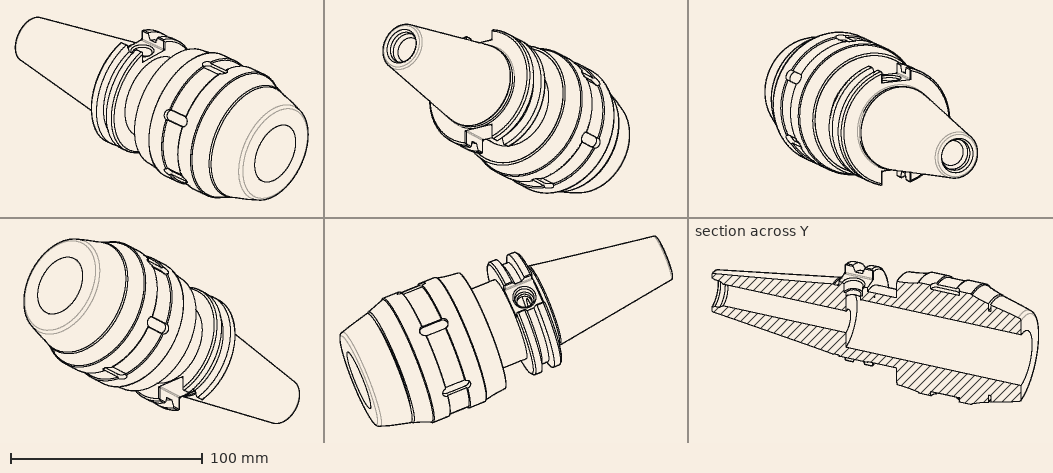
import cadquery as cq
import math

LENGTH = 173.2

TAPER_LENGTH = 67.9
TAPER_DIAMETER = 44.5
TAPER_RATIO = 7 / 24
SHANK_END_ROUND = 1.0
RELIEF_DIAMETER = 44.0
RELIEF_SLOPE = 0.7
RELIEF_FILLET = 0.7

FLANGE_START = 71.2
FLANGE_WIDTH = 16.1
FLANGE_DIAMETER = 63.4
FLANGE_CHAMFER = 1.0
FLANGE_CENTER = FLANGE_START + FLANGE_WIDTH / 2
FLANGE_END = FLANGE_START + FLANGE_WIDTH
GROOVE_DIAMETER = 56.0
GROOVE_TOP_WIDTH = 7.0
GROOVE_FLOOR_WIDTH = 3.8

DRIVE_SLOT_WIDTH = 16.1
DRIVE_SLOT_EDGE_CHAMFER = 0.5
DRIVE_SLOT_FILLET = 0.5
UPPER_SLOT_FLOOR = 24.6
LOWER_SLOT_FLOOR = 22.7

SCREW_MOUTH_DIAMETER = 12.1
SCREW_HEAD_DIAMETER = 10.2
SCREW_HEAD_DEPTH = 6.0
SCREW_DIAMETER = 8.0

NECK_DIAMETER = 44.5
NUT_FACE_DIAMETER = 62.7
NUT_FACE_HEIGHT = 0.2
NUT_START = 103.5
NUT_REAR_DIAMETER = 65.3
NUT_REAR_SAG = 0.26
RING_START = 115.3
RING_END = 145.8
RING_DIAMETER = 70.0
RING_SHOULDER_DIAMETER = 68.7
RING_SHOULDER_SLOPE = 0.5
BAND_START = 124.8
BAND_END = 136.3
BAND_DIAMETER = 68.4
BAND_EDGE_SLOPE = 0.3

GAP_START = 155.0
GAP_WIDTH = 1.0
GAP_DIAMETER = 53.3
CONE_END_DIAMETER = 62.3
NOSE_START_DIAMETER = 61.5
NOSE_END_DIAMETER = 53.0
NOSE_BULGE = 0.3
NOSE_ROUND = 1.5

WRENCH_SLOT_COUNT = 6
WRENCH_SLOT_LENGTH = 15.8
WRENCH_SLOT_WIDTH = 5.5
WRENCH_SLOT_FLOOR = 32.4
WRENCH_SLOT_CENTER = (BAND_START + BAND_END) / 2

THROUGH_DIAMETER = 13.3
SHANK_BORE_DIAMETER = 16.5
SHANK_BORE_DEPTH = 4.3
SHANK_BORE_CONE_END = 6.4
SHANK_MOUTH_DIAMETER = 18.4
SHANK_MOUTH_CHAMFER = 1.7
CHUCK_BORE_DIAMETER = 31.7
CHUCK_BORE_START = 75.1


def revolve_about_x(profile):
    """Turn a closed profile, drawn as axial position and radius, about the X axis."""
    return profile.close().revolve(360, (0, 0, 0), (1, 0, 0))


def middle_of_arc(start, end, rise):
    """Middle point of a shallow arc that stands off its chord by a radial rise."""
    return (start[0] + end[0]) / 2, (start[1] + end[1]) / 2 + rise


def round_point(center_x, center_radius, size, along, outward):
    """Middle of a quarter round; along and outward are +1 or -1 and pick the quarter."""
    reach = size * math.sqrt(0.5)
    return center_x + along * reach, center_radius + outward * reach


def turned_body():
    """Outer shape of the holder from the shank end to the nose, without bores or slots."""
    shank_end_radius = (TAPER_DIAMETER - TAPER_RATIO * TAPER_LENGTH) / 2
    shank_round_middle = round_point(
        SHANK_END_ROUND, shank_end_radius - SHANK_END_ROUND, SHANK_END_ROUND, -1, 1
    )
    relief_fillet_middle = round_point(
        FLANGE_START - RELIEF_FILLET, RELIEF_DIAMETER / 2 + RELIEF_FILLET, RELIEF_FILLET, 1, -1
    )
    nut_rear = (NUT_START, NUT_REAR_DIAMETER / 2)
    ring_rear = (RING_START, RING_SHOULDER_DIAMETER / 2)
    nose_rear = (GAP_START + GAP_WIDTH, NOSE_START_DIAMETER / 2)
    nose_front = (LENGTH - NOSE_ROUND, NOSE_END_DIAMETER / 2)
    nose_rim_radius = NOSE_END_DIAMETER / 2 - NOSE_ROUND
    nose_round_middle = round_point(LENGTH - NOSE_ROUND, nose_rim_radius, NOSE_ROUND, 1, 1)
    profile = (
        cq.Workplane("XY")
        .lineTo(0, shank_end_radius - SHANK_END_ROUND)
        .threePointArc(shank_round_middle, (SHANK_END_ROUND, shank_end_radius))
        .lineTo(TAPER_LENGTH, TAPER_DIAMETER / 2)
        .lineTo(TAPER_LENGTH + RELIEF_SLOPE, RELIEF_DIAMETER / 2)
        .lineTo(FLANGE_START - RELIEF_FILLET, RELIEF_DIAMETER / 2)
        .threePointArc(relief_fillet_middle, (FLANGE_START, RELIEF_DIAMETER / 2 + RELIEF_FILLET))
        .lineTo(FLANGE_START, FLANGE_DIAMETER / 2 - FLANGE_CHAMFER)
        .lineTo(FLANGE_START + FLANGE_CHAMFER, FLANGE_DIAMETER / 2)
        .lineTo(FLANGE_CENTER - GROOVE_TOP_WIDTH / 2, FLANGE_DIAMETER / 2)
        .lineTo(FLANGE_CENTER - GROOVE_FLOOR_WIDTH / 2, GROOVE_DIAMETER / 2)
        .lineTo(FLANGE_CENTER + GROOVE_FLOOR_WIDTH / 2, GROOVE_DIAMETER / 2)
        .lineTo(FLANGE_CENTER + GROOVE_TOP_WIDTH / 2, FLANGE_DIAMETER / 2)
        .lineTo(FLANGE_END - FLANGE_CHAMFER, FLANGE_DIAMETER / 2)
        .lineTo(FLANGE_END, FLANGE_DIAMETER / 2 - FLANGE_CHAMFER)
        .lineTo(FLANGE_END, NECK_DIAMETER / 2)
        .lineTo(NUT_START - NUT_FACE_HEIGHT, NECK_DIAMETER / 2)
        .lineTo(NUT_START - NUT_FACE_HEIGHT, NUT_FACE_DIAMETER / 2)
        .lineTo(NUT_START, NUT_FACE_DIAMETER / 2)
        .lineTo(*nut_rear)
        .threePointArc(middle_of_arc(nut_rear, ring_rear, -NUT_REAR_SAG), ring_rear)
        .lineTo(RING_START + RING_SHOULDER_SLOPE, RING_DIAMETER / 2)
        .lineTo(BAND_START, RING_DIAMETER / 2)
        .lineTo(BAND_START + BAND_EDGE_SLOPE, BAND_DIAMETER / 2)
        .lineTo(BAND_END - BAND_EDGE_SLOPE, BAND_DIAMETER / 2)
        .lineTo(BAND_END, RING_DIAMETER / 2)
        .lineTo(RING_END - RING_SHOULDER_SLOPE, RING_DIAMETER / 2)
        .lineTo(RING_END, RING_SHOULDER_DIAMETER / 2)
        .lineTo(GAP_START, CONE_END_DIAMETER / 2)
        .lineTo(GAP_START, GAP_DIAMETER / 2)
        .lineTo(GAP_START + GAP_WIDTH, GAP_DIAMETER / 2)
        .lineTo(*nose_rear)
        .threePointArc(middle_of_arc(nose_rear, nose_front, NOSE_BULGE), nose_front)
        .threePointArc(nose_round_middle, (LENGTH, nose_rim_radius))
        .lineTo(LENGTH, 0)
    )
    return revolve_about_x(profile)


def axial_bores():
    """Shank bore, through hole and chuck bore open at the nose, as one cutting shape."""
    profile = (
        cq.Workplane("XY")
        .lineTo(0, SHANK_MOUTH_DIAMETER / 2)
        .lineTo(SHANK_MOUTH_CHAMFER, SHANK_BORE_DIAMETER / 2)
        .lineTo(SHANK_BORE_DEPTH, SHANK_BORE_DIAMETER / 2)
        .lineTo(SHANK_BORE_CONE_END, THROUGH_DIAMETER / 2)
        .lineTo(CHUCK_BORE_START, THROUGH_DIAMETER / 2)
        .lineTo(CHUCK_BORE_START, CHUCK_BORE_DIAMETER / 2)
        .lineTo(LENGTH, CHUCK_BORE_DIAMETER / 2)
        .lineTo(LENGTH, 0)
    )
    return revolve_about_x(profile)


def drive_slot(floor, side):
    """Slot through the flange; side is +1 for the +Z slot and -1 for the -Z slot."""
    height = FLANGE_DIAMETER / 2
    slot = cq.Workplane("XY").box(FLANGE_WIDTH, DRIVE_SLOT_WIDTH, height)
    slot = slot.edges("|X and " + ("<Z" if side > 0 else ">Z")).fillet(DRIVE_SLOT_FILLET)
    return slot.translate((FLANGE_CENTER, 0, side * (floor + height / 2)))


def drive_slot_entry(floor, side):
    """Four upright wedges that chamfer the slot walls at the two flange faces."""
    wall = DRIVE_SLOT_WIDTH / 2
    wedges = cq.Workplane("XY", origin=(0, 0, side * floor))
    for face, inward in ((FLANGE_START, 1), (FLANGE_END, -1)):
        for wall_side in (1, -1):
            wedges = wedges.polyline(
                [
                    (face, wall_side * wall),
                    (face + inward * DRIVE_SLOT_EDGE_CHAMFER, wall_side * wall),
                    (face, wall_side * (wall + DRIVE_SLOT_EDGE_CHAMFER)),
                ]
            ).close()
    return wedges.extrude(side * FLANGE_DIAMETER / 2)


def drive_slot_rim(side):
    """Flare that breaks the long edges where a drive slot wall meets the flange rim."""
    half_width = DRIVE_SLOT_WIDTH / 2
    flare = half_width + DRIVE_SLOT_EDGE_CHAMFER
    rim = math.sqrt((FLANGE_DIAMETER / 2) ** 2 - flare**2)
    wall_top = rim - DRIVE_SLOT_EDGE_CHAMFER
    outer = FLANGE_DIAMETER / 2
    half_outline = [(half_width, wall_top), (flare, rim), (flare, outer)]
    outline = half_outline + [(-y, z) for y, z in reversed(half_outline)]
    return (
        cq.Workplane("YZ", origin=(FLANGE_START, 0, 0))
        .polyline([(y, side * z) for y, z in outline])
        .close()
        .extrude(FLANGE_WIDTH)
    )


def screw_hole():
    """Radial screw hole from the upper slot floor into the chuck bore."""
    chamfer = (SCREW_MOUTH_DIAMETER - SCREW_HEAD_DIAMETER) / 2
    head_floor = UPPER_SLOT_FLOOR - SCREW_HEAD_DEPTH
    profile = (
        cq.Workplane("XZ")
        .lineTo(SCREW_DIAMETER / 2, 0)
        .lineTo(SCREW_DIAMETER / 2, head_floor)
        .lineTo(SCREW_HEAD_DIAMETER / 2, head_floor)
        .lineTo(SCREW_HEAD_DIAMETER / 2, UPPER_SLOT_FLOOR - chamfer)
        .lineTo(SCREW_MOUTH_DIAMETER / 2, UPPER_SLOT_FLOOR)
        .lineTo(0, UPPER_SLOT_FLOOR)
        .close()
    )
    return profile.revolve(360, (0, 0, 0), (0, 1, 0)).translate((FLANGE_CENTER, 0, 0))


def wrench_slot(angle):
    """Flat-bottomed round-ended slot in the ring, turned by an angle about X from +Z."""
    return (
        cq.Workplane("XY", origin=(WRENCH_SLOT_CENTER, 0, WRENCH_SLOT_FLOOR))
        .slot2D(WRENCH_SLOT_LENGTH, WRENCH_SLOT_WIDTH)
        .extrude(RING_DIAMETER / 2)
        .rotate((0, 0, 0), (1, 0, 0), angle)
    )


result = turned_body().cut(axial_bores())
for slot_floor, slot_side in ((UPPER_SLOT_FLOOR, 1), (LOWER_SLOT_FLOOR, -1)):
    result = result.cut(drive_slot(slot_floor, slot_side))
    result = result.cut(drive_slot_entry(slot_floor, slot_side))
    result = result.cut(drive_slot_rim(slot_side))
result = result.cut(screw_hole())
for index in range(WRENCH_SLOT_COUNT):
    result = result.cut(wrench_slot(index * 360 / WRENCH_SLOT_COUNT))